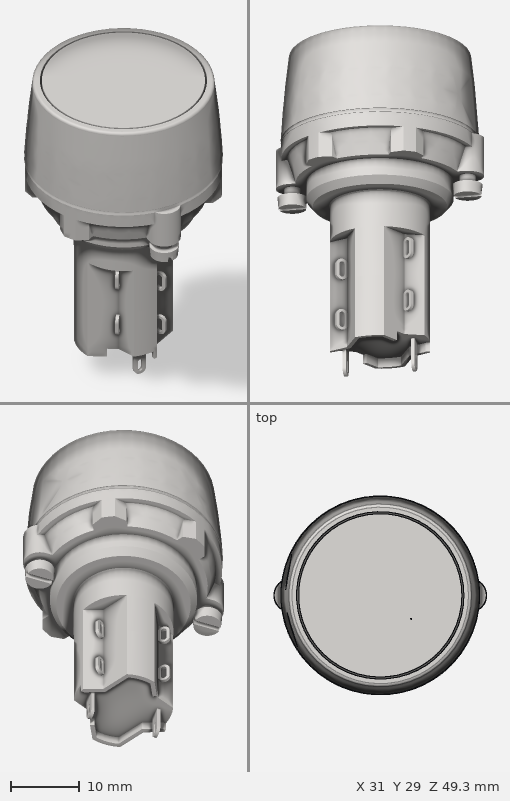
import cadquery as cq
import math

block_bottom_z = 3.35
recess_top_z = 4.75
block_seam_z = 12.65
block_top_z = 20.2
barrel_top_z = 25.7
neck_bottom_z = 25.9
neck_chamfer_z = 26.95
lug_bottom_z = 29.55
flange_bottom_z = 33.3
flange_top_z = 35.4
bezel_bottom_z = 36.0
rim_z = 48.8
top_z = 49.3

bezel_foot_radius = 14.5
bezel_rim_radius = 13.3
bezel_bulge = 0.125
rim_round_inset = 0.45
groove_radius = 14.35
groove_height = 0.15
flange_radius = 14.4
cone_top_radius = 27.0 / 2
cone_bottom_radius = 24.6 / 2
neck_radius = 21.5 / 2
neck_tip_radius = 9.8
barrel_radius = 14.6 / 2
barrel_flare = 0.15

well_radius = 24.4 / 2
button_radius = 23.8 / 2

lug_half_width = 2.5
lug_tip_half_width = 0.95
lug_shoulder_radius = 13.15
lug_angles = (60, 120, 240, 300)

post_radius = 2.4
post_reach = 31.0 / 2
post_x = post_reach - post_radius
screw_stem_radius = 2.4 / 2
screw_head_radius = 2.15
screw_head_tip_radius = 2.0
screw_head_top_z = 28.2
screw_head_bottom_z = 26.45
screw_slot_width = 0.75
screw_slot_depth = 0.8

side_lobe_half_width = 1.85
front_lobe_half_width = 2.15
notch_x = 4.3
notch_y = 3.0
side_lobe_corner_x = math.sqrt(barrel_radius**2 - side_lobe_half_width**2)
front_lobe_corner_y = math.sqrt(barrel_radius**2 - front_lobe_half_width**2)
block_wall = 0.65
terminal_gap_width = 2.7
window_edge_x = 3.5
window_reach = 1.3

tab_thickness = 0.5
tab_width = 1.8
tab_height = 3.2
tab_reach = 7.0
tab_hole_width = 0.85
tab_hole_height = 2.35
tab_levels_low = (7.5, 15.3)
tab_levels_high = (9.7, 17.85)

terminal_x = 5.15
terminal_thickness = 0.5
terminal_width = 1.95
terminal_hole_width = 0.7
terminal_hole_bottom_z = 0.55
terminal_hole_top_z = 2.55


def disc(radius, bottom_z, height):
    return cq.Workplane("XY").workplane(offset=bottom_z).circle(radius).extrude(height)


def make_turned_body():
    """Bezel, groove, flange, cone, neck and barrel, turned about the Z axis."""
    side_mid = ((bezel_foot_radius + bezel_rim_radius) / 2 + bezel_bulge, (bezel_bottom_z + rim_z) / 2)
    round_middle = rim_round_inset * math.sqrt(0.5)
    rim_mid = (
        bezel_rim_radius - rim_round_inset + round_middle,
        rim_z + (top_z - rim_z) * math.sqrt(0.5),
    )
    return (
        cq.Workplane("XZ")
        .moveTo(0, block_top_z)
        .lineTo(barrel_radius, block_top_z)
        .lineTo(barrel_radius, barrel_top_z)
        .lineTo(barrel_radius + barrel_flare, neck_bottom_z)
        .lineTo(neck_tip_radius, neck_bottom_z)
        .lineTo(neck_radius, neck_chamfer_z)
        .lineTo(neck_radius, lug_bottom_z)
        .lineTo(cone_bottom_radius, lug_bottom_z)
        .lineTo(cone_top_radius, flange_bottom_z)
        .lineTo(flange_radius, flange_bottom_z)
        .lineTo(flange_radius, flange_top_z)
        .lineTo(bezel_foot_radius, flange_top_z)
        .lineTo(groove_radius, bezel_bottom_z - groove_height)
        .lineTo(groove_radius, bezel_bottom_z)
        .lineTo(bezel_foot_radius, bezel_bottom_z)
        .threePointArc(side_mid, (bezel_rim_radius, rim_z))
        .threePointArc(rim_mid, (bezel_rim_radius - rim_round_inset, top_z))
        .lineTo(0, top_z)
        .close()
        .revolve(360, (0, 0, 0), (0, 1, 0))
    )


def make_lug(angle):
    """Straight-sided lug with a narrowed tip that ends flush with the flange."""
    outline = [
        (0, -lug_half_width),
        (lug_shoulder_radius, -lug_half_width),
        (flange_radius, -lug_tip_half_width),
        (flange_radius, lug_tip_half_width),
        (lug_shoulder_radius, lug_half_width),
        (0, lug_half_width),
    ]
    height = flange_bottom_z - lug_bottom_z
    lug = cq.Workplane("XY").workplane(offset=lug_bottom_z).polyline(outline).close().extrude(height)
    return lug.intersect(disc(flange_radius, lug_bottom_z, height)).rotate((0, 0, 0), (0, 0, 1), angle)


def make_screw_post(side):
    """Rounded post on the -X (side = -1) or +X (side = 1) edge, with the screw hanging below it."""
    height = flange_top_z - lug_bottom_z
    post = disc(post_radius, lug_bottom_z, height).translate((side * post_x, 0, 0))
    web = (
        cq.Workplane("XY")
        .workplane(offset=lug_bottom_z)
        .center(side * post_x / 2, 0)
        .rect(post_x, 2 * post_radius)
        .extrude(height)
    )
    stem = disc(screw_stem_radius, screw_head_top_z, lug_bottom_z - screw_head_top_z)
    head = (
        cq.Workplane("XY")
        .workplane(offset=screw_head_bottom_z)
        .circle(screw_head_tip_radius)
        .workplane(offset=screw_head_top_z - screw_head_bottom_z)
        .circle(screw_head_radius)
        .loft()
    )
    slot = cq.Workplane("XY").box(
        2 * screw_head_radius, screw_slot_width, screw_slot_depth, centered=(True, True, False)
    )
    head = head.cut(slot.translate((0, 0, screw_head_bottom_z)))
    screw = stem.union(head).translate((side * post_x, 0, 0))
    return post.union(web).union(screw)


def cross_outline(bottom_z):
    """Outline of the contact block, counter-clockwise from the +X lobe."""
    side_x = side_lobe_corner_x
    front_y = front_lobe_corner_y
    return (
        cq.Workplane("XY")
        .workplane(offset=bottom_z)
        .moveTo(side_x, -side_lobe_half_width)
        .threePointArc((barrel_radius, 0), (side_x, side_lobe_half_width))
        .lineTo(notch_x, notch_y)
        .lineTo(front_lobe_half_width, front_y)
        .threePointArc((0, barrel_radius), (-front_lobe_half_width, front_y))
        .lineTo(-notch_x, notch_y)
        .lineTo(-side_x, side_lobe_half_width)
        .threePointArc((-barrel_radius, 0), (-side_x, -side_lobe_half_width))
        .lineTo(-notch_x, -notch_y)
        .lineTo(-front_lobe_half_width, -front_y)
        .threePointArc((0, -barrel_radius), (front_lobe_half_width, -front_y))
        .lineTo(notch_x, -notch_y)
        .close()
    )


def make_wall_window():
    """Cutter that opens the wall of the +X -Y notch, ending square to the notch face."""
    run_x = notch_x - front_lobe_half_width
    run_y = front_lobe_corner_y - notch_y
    run_length = math.hypot(run_x, run_y)
    edge_y = -notch_y - (notch_x - window_edge_x) * run_y / run_x
    reach_x = window_reach * run_y / run_length
    reach_y = window_reach * run_x / run_length
    outline = [
        (window_edge_x - reach_x, edge_y + reach_y),
        (window_edge_x + reach_x, edge_y - reach_y),
        (barrel_radius, edge_y - reach_y),
        (barrel_radius, 0),
        (window_edge_x - reach_x, 0),
    ]
    height = recess_top_z - block_bottom_z
    return cq.Workplane("XY").workplane(offset=block_bottom_z).polyline(outline).close().extrude(height)


def make_contact_block():
    """Two stacked stages; the lower one is hollow at its open bottom, with gaps in the wall."""
    upper = cross_outline(block_seam_z).extrude(block_top_z - block_seam_z)
    lower = cross_outline(block_bottom_z).extrude(block_seam_z - block_bottom_z)
    depth = recess_top_z - block_bottom_z
    recess = cross_outline(block_bottom_z).offset2D(-block_wall, "intersection").extrude(depth)
    gap = cq.Workplane("XY").box(
        2 * barrel_radius, terminal_gap_width, depth, centered=(True, True, False)
    )
    window = make_wall_window()
    opposite_window = window.rotate((0, 0, 0), (0, 0, 1), 180)
    lower = lower.cut(recess).cut(gap.translate((0, 0, block_bottom_z))).cut(window).cut(opposite_window)
    return lower.union(upper, clean=False)


def make_tab(angle, level):
    """Upright tab with a slotted hole, standing out radially from a notch."""
    tab = (
        cq.Workplane("XZ")
        .center(tab_reach - tab_width / 2, level)
        .slot2D(tab_height, tab_width, 90)
        .slot2D(tab_hole_height, tab_hole_width, 90)
        .extrude(tab_thickness / 2, both=True)
    )
    return tab.rotate((0, 0, 0), (0, 0, 1), angle)


def make_terminal(x):
    """Flat solder terminal with a round end and a slotted hole."""
    tip_radius = terminal_width / 2
    blade_height = recess_top_z - tip_radius
    hole_height = terminal_hole_top_z - terminal_hole_bottom_z
    hole_middle_z = (terminal_hole_top_z + terminal_hole_bottom_z) / 2
    plane = cq.Workplane("YZ")
    blade = (
        plane.center(0, tip_radius + blade_height / 2)
        .rect(terminal_width, blade_height)
        .extrude(terminal_thickness / 2, both=True)
    )
    tip = plane.center(0, tip_radius).circle(tip_radius).extrude(terminal_thickness / 2, both=True)
    hole = (
        plane.center(0, hole_middle_z)
        .slot2D(hole_height, terminal_hole_width, 90)
        .extrude(terminal_thickness, both=True)
    )
    return blade.union(tip).cut(hole).translate((x, 0, 0))


def make_housing():
    housing = make_turned_body()
    for angle in lug_angles:
        housing = housing.union(make_lug(angle))
    for side in (-1, 1):
        housing = housing.union(make_screw_post(side))
    housing = housing.cut(disc(well_radius, bezel_bottom_z, top_z - bezel_bottom_z))
    for x in (-terminal_x, terminal_x):
        housing = housing.union(make_terminal(x))

    housing = housing.union(make_contact_block(), clean=False)
    notch_angle = math.degrees(math.atan2(notch_y, notch_x))
    tab_sets = (
        (notch_angle, tab_levels_low),
        (180 + notch_angle, tab_levels_low),
        (180 - notch_angle, tab_levels_high),
        (-notch_angle, tab_levels_high),
    )
    for angle, levels in tab_sets:
        for level in levels:
            housing = housing.union(make_tab(angle, level), clean=False)
    return housing


def make_button():
    """Round push button, flush with the bezel top and clear of the well's side."""
    return disc(button_radius, bezel_bottom_z, top_z - bezel_bottom_z)


housing = make_housing()
button = make_button()
result = cq.Compound.makeCompound([housing.solids().val(), button.val()])